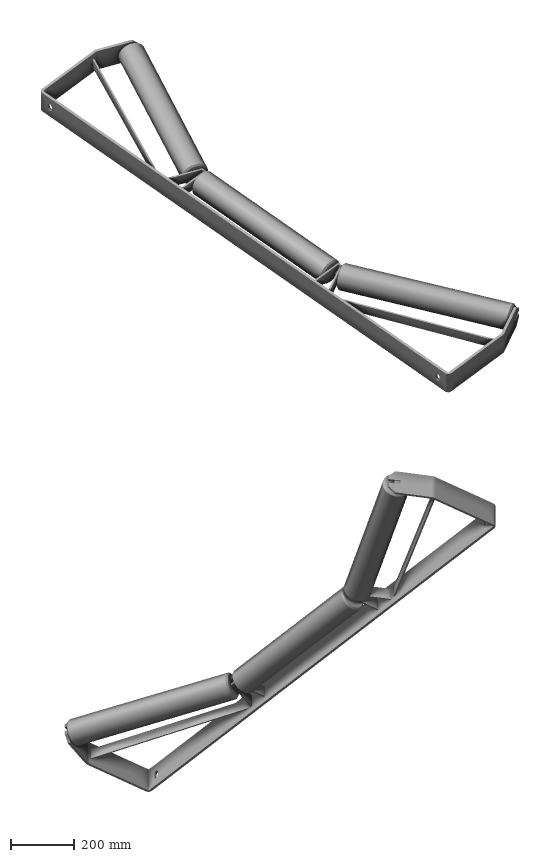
import cadquery as cq
import math

FRAME_LENGTH = 1800.0
FRAME_HEIGHT = 83.0
FRAME_PLATE = 9.0
CORNER_RADIUS = 15.0
BEND_RADIUS = 25.0
TIP_ABOVE_AXIS = 29.0
TIP_CHAMFER = 22.0
MOUNT_X = 853.0
MOUNT_WIDTH = 18.0
MOUNT_LENGTH = 29.0

ROLLER_DIAMETER = 88.0
ROLLER_LENGTH = 572.0
ROLLER_CHAMFER = 5.0
ROLLER_GAP = 4.0
SHAFT_DIAMETER = 20.0
SHAFT_FLATS = 15.0
MIDDLE_ROLLER_Y = 100.0
MIDDLE_ROLLER_DROP = 7.0
WING_X = -580.0
WING_Y = 232.0
TROUGH_ANGLE = 25.0

BRACKET_PLATE = 6.0
BRACKET_HEIGHT = 40.0
BRACKET_TOP_Y = 130.0
BRACE_THICKNESS = 5.0
BRACE_HEIGHT = 36.0
BRACE_TOP_Y = 240.0
BRACE_ANGLE = 24.0

FRAME_LEFT = -FRAME_LENGTH / 2
FRAME_MIDDLE_Z = -FRAME_HEIGHT / 2
PLATE_DISTANCE = ROLLER_LENGTH / 2 + ROLLER_GAP
SHAFT_HALF_LENGTH = PLATE_DISTANCE + BRACKET_PLATE
SLOT_HALF_LENGTH = PLATE_DISTANCE + 2 * FRAME_PLATE
SLOT_DEPTH = 2 * ROLLER_DIAMETER
TROUGH_SLOPE = math.radians(TROUGH_ANGLE)
BRACE_SLOPE = math.radians(BRACE_ANGLE)
WING_LEAN = math.degrees(math.asin(MIDDLE_ROLLER_DROP / ROLLER_LENGTH))


def wing_point(along, across):
    """X, Y of a point along the left wing roller axis (inwards) and across it (away from the front)."""
    return (
        WING_X + along * math.cos(TROUGH_SLOPE) + across * math.sin(TROUGH_SLOPE),
        WING_Y - along * math.sin(TROUGH_SLOPE) + across * math.cos(TROUGH_SLOPE),
    )


def wing_point_at_x(along, x):
    """Point at a given X on the line square to the wing roller axis."""
    return wing_point(along, (x - WING_X - along * math.cos(TROUGH_SLOPE)) / math.sin(TROUGH_SLOPE))


def wing_point_at_y(along, y):
    """Point at a given Y on the line square to the wing roller axis."""
    return wing_point(along, (y - WING_Y + along * math.sin(TROUGH_SLOPE)) / math.cos(TROUGH_SLOPE))


def upright(outline, height):
    """Prism of a plan outline, centred on the mid-height of the frame."""
    return (
        cq.Workplane("XY", origin=(0, 0, FRAME_MIDDLE_Z - height / 2))
        .polyline(outline)
        .close()
        .extrude(height)
    )


def mirrored(body):
    return body.mirror("YZ")


def nearest(x, y, z):
    return cq.selectors.NearestToPointSelector((x, y, z))


def in_middle_place(body):
    """Move a body built along X about the origin to the middle roller position."""
    return body.translate((0, MIDDLE_ROLLER_Y, FRAME_MIDDLE_Z - MIDDLE_ROLLER_DROP))


def in_wing_place(body):
    """Move a body built along X about the origin to the left wing roller position."""
    return (
        body.rotate((0, 0, 0), (0, 1, 0), WING_LEAN)
        .rotate((0, 0, 0), (0, 0, 1), -TROUGH_ANGLE)
        .translate((WING_X, WING_Y, FRAME_MIDDLE_Z - MIDDLE_ROLLER_DROP / 2))
    )


def make_roller():
    """Chamfered tube with its flattened shaft, along X about the origin."""
    tube = (
        cq.Workplane("YZ", origin=(-ROLLER_LENGTH / 2, 0, 0))
        .circle(ROLLER_DIAMETER / 2)
        .extrude(ROLLER_LENGTH)
        .edges("%CIRCLE")
        .chamfer(ROLLER_CHAMFER)
    )
    shaft = cq.Workplane("YZ").circle(SHAFT_DIAMETER / 2).extrude(SHAFT_HALF_LENGTH, both=True)
    flats = cq.Workplane("XY").box(2 * SHAFT_HALF_LENGTH, SHAFT_DIAMETER, SHAFT_FLATS)
    return tube.union(shaft.intersect(flats))


def make_shaft_slots():
    """Cutter for the open-ended slots in the two plates of a roller lying along X about the origin."""
    return (
        cq.Workplane("XY")
        .box(2 * SLOT_HALF_LENGTH, SLOT_DEPTH, SHAFT_FLATS)
        .translate((0, (SLOT_DEPTH - SHAFT_DIAMETER) / 2, 0))
    )


def make_frame():
    outer = -PLATE_DISTANCE - FRAME_PLATE
    inner = -PLATE_DISTANCE
    inner_left = FRAME_LEFT + FRAME_PLATE
    outer_bend = wing_point_at_x(outer, FRAME_LEFT)
    half = upright(
        [
            (0, 0),
            (FRAME_LEFT, 0),
            outer_bend,
            wing_point(outer, TIP_ABOVE_AXIS),
            wing_point(inner, TIP_ABOVE_AXIS),
            wing_point_at_x(inner, inner_left),
            (inner_left, FRAME_PLATE),
            (0, FRAME_PLATE),
        ],
        FRAME_HEIGHT,
    )

    half = half.edges(nearest(FRAME_LEFT, 0, FRAME_MIDDLE_Z)).fillet(CORNER_RADIUS)
    half = half.edges(nearest(*outer_bend, FRAME_MIDDLE_Z)).fillet(BEND_RADIUS)

    tip = wing_point((outer + inner) / 2, TIP_ABOVE_AXIS)
    for z in (0, -FRAME_HEIGHT):
        half = half.edges(nearest(*tip, z)).chamfer(TIP_CHAMFER)

    mount_slot = (
        cq.Workplane("XZ")
        .center(-MOUNT_X, FRAME_MIDDLE_Z)
        .slot2D(MOUNT_LENGTH, MOUNT_WIDTH, 90)
        .extrude(-FRAME_PLATE)
    )
    half = half.cut(mount_slot).cut(in_wing_place(make_shaft_slots()))
    return half.union(mirrored(half))


def make_bracket():
    """Left bracket: a folded plate between the middle roller and the left wing roller."""
    near = PLATE_DISTANCE
    far = PLATE_DISTANCE + BRACKET_PLATE
    under_top = BRACKET_TOP_Y - BRACKET_PLATE
    bracket = upright(
        [
            (-near, FRAME_PLATE),
            (-near, BRACKET_TOP_Y),
            wing_point_at_y(near, BRACKET_TOP_Y),
            wing_point_at_y(near, FRAME_PLATE),
            wing_point_at_y(far, FRAME_PLATE),
            wing_point_at_y(far, under_top),
            (-far, under_top),
            (-far, FRAME_PLATE),
        ],
        BRACKET_HEIGHT,
    )
    slots = make_shaft_slots()
    return bracket.cut(in_wing_place(slots)).cut(in_middle_place(slots))


def make_brace():
    """Left brace: a flat bar from the side of the frame down to its front plate."""
    side_x = FRAME_LEFT + FRAME_PLATE
    foot_x = side_x + (BRACE_TOP_Y - FRAME_PLATE) / math.tan(BRACE_SLOPE)
    return upright(
        [
            (side_x, BRACE_TOP_Y),
            (side_x, BRACE_TOP_Y - BRACE_THICKNESS / math.cos(BRACE_SLOPE)),
            (foot_x - BRACE_THICKNESS / math.sin(BRACE_SLOPE), FRAME_PLATE),
            (foot_x, FRAME_PLATE),
        ],
        BRACE_HEIGHT,
    )


frame = make_frame()
roller = make_roller()
middle_roller = in_middle_place(roller)

left_bodies = [in_wing_place(roller), make_bracket(), make_brace()]
paired_solids = []
for body in left_bodies:
    paired_solids.append(body.val())
    paired_solids.append(mirrored(body).val())

result = cq.Compound.makeCompound([frame.val(), middle_roller.val(), *paired_solids])